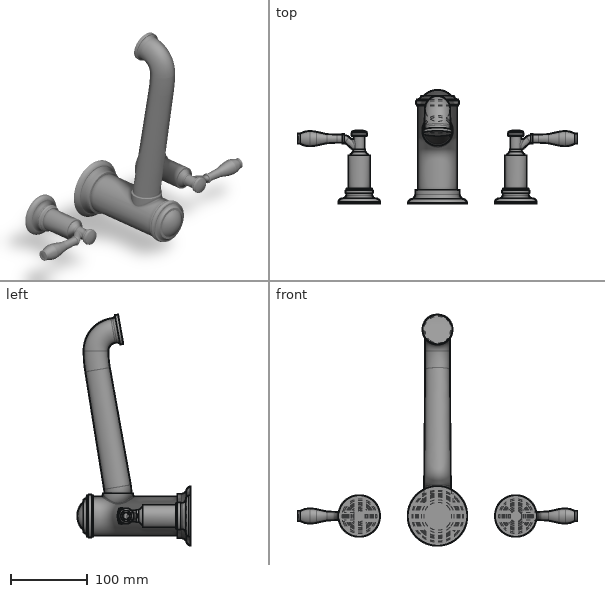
import cadquery as cq
import math


curve_bow = 0.7

flange_radius = 39.0
flange_rim = 0.7
flange_step_y = 6.0
flange_step_radius = 33.8
flange_step = 1.5
collar_start = 12.5
collar_end = 17.8
collar_radius = 29.0
barrel_radius = 25.8
bead_start = 126.8
bead_end = 135.5
bead_land = 1.8
bead_land_radius = 27.2
bead_radius = 28.5
shoulder_root_radius = 25.0
shoulder_y = 140.0
shoulder_radius = 21.5
dome_radius = 18.0
barrel_length = 148.0

pipe_y = 94.8
hub_radius = 20.0
hub_top = 29.5
hub_fillet = 1.5
root_fillet = 1.0
pipe_lean = 9.6
pipe_root_radius = 17.8
pipe_radius = 16.5
pipe_length = 154.7
root_bend_radius = 51.0
upper_bend_radius = 145.3
elbow_radius = 26.5
outlet_lean = -80.0

outlet_length = 10.5
outlet_radius = 19.5
outlet_lip = 4.5
outlet_neck = 2.0
outlet_flare_radius = 18.0
outlet_flare_bow = 0.5

valve_x = 101.7
valve_flange_radius = 27.2
valve_flange_rim = 2.5
valve_step_y = 7.0
valve_step_radius = 22.5
valve_step = 1.8
valve_collar_y = 11.0
valve_collar_radius = 17.0
valve_bead_start = 13.5
valve_bead_end = 17.5
valve_bead_radius = 18.0
valve_land_end = 19.0
valve_collar_end = 20.0
valve_lip_radius = 15.5
valve_radius = 14.5
valve_body_end = 63.0
cone_base_radius = 12.5
cone_end = 67.5
neck_ring_radius = 8.0
neck_ring_end = 71.0
stem_radius = 7.3
cap_start = 87.0
cap_land = 1.5
cap_land_radius = 9.8
cap_bead_end = 92.0
cap_bead_radius = 10.5
cap_dome_y = 93.5
cap_end = 95.5

lever_y = 84.3
overall_width = 363.2
lever_tip = overall_width / 2 - valve_x
tip_start = 76.5
tip_radius = 7.0
tip_recess_radius = 4.5
tip_recess_depth = 0.7
tip_bow = 0.7
grip_crest = 64.3
grip_crest_radius = 10.0
grip_shoulder = 55.5
grip_shoulder_radius = 9.0
shoulder_bow = 0.18
grip_waist = 42.5
grip_waist_radius = 6.0
shank_start = 29.5
shank_radius = 5.5
ring_end = 21.8
ring_start = 19.5
ring_radius = 6.5
arm_radius = 4.7
arm_bend_radius = 5.0
arm_angle = 41.0
arm_fillet = 1.8


def dome_bow(radius, height):
    """Bulge of the arc from a dome's edge to its top, measured from the chord."""
    sphere = (radius**2 + height**2) / (2 * height)
    return sphere - math.sqrt(sphere**2 - (radius**2 + height**2) / 4)


def barrel():
    return (
        cq.Workplane("XY")
        .lineTo(flange_radius, 0)
        .lineTo(flange_radius, flange_rim)
        .sagittaArc((flange_step_radius, flange_step_y), -curve_bow)
        .lineTo(flange_step_radius - flange_step, flange_step_y)
        .sagittaArc((collar_radius, collar_start), curve_bow)
        .lineTo(collar_radius, collar_end)
        .lineTo(barrel_radius, collar_end)
        .lineTo(barrel_radius, bead_start)
        .lineTo(bead_land_radius, bead_start)
        .lineTo(bead_land_radius, bead_start + bead_land)
        .sagittaArc((bead_land_radius, bead_end - bead_land), bead_land_radius - bead_radius)
        .lineTo(bead_land_radius, bead_end)
        .lineTo(shoulder_root_radius, bead_end)
        .sagittaArc((shoulder_radius, shoulder_y), curve_bow)
        .lineTo(dome_radius, shoulder_y)
        .sagittaArc((0, barrel_length), -dome_bow(dome_radius, barrel_length - shoulder_y))
        .close()
        .revolve(360, (0, 0, 0), (0, 1, 0))
    )


def lean_direction(lean):
    angle = math.radians(lean)
    return cq.Vector(0, math.sin(angle), math.cos(angle))


def pipe_bend(start, lean_in, lean_out, bend_radius, radius):
    """Round bend in the YZ plane, with the point where it ends."""
    side = 1 if lean_out > lean_in else -1
    plane = cq.Plane(origin=start, xDir=(1, 0, 0), normal=lean_direction(lean_in))
    offset = side * bend_radius
    solid = cq.Workplane(plane).circle(radius).revolve(
        abs(lean_out - lean_in), (0, offset, 0), (-side, offset, 0)
    )
    a_in = math.radians(lean_in)
    a_out = math.radians(lean_out)
    travel = cq.Vector(0, math.cos(a_in) - math.cos(a_out), math.sin(a_out) - math.sin(a_in))
    return solid, start + travel * offset


def outlet(start):
    direction = lean_direction(outlet_lean)
    plane = cq.Plane(origin=start, xDir=(1, 0, 0), normal=cq.Vector(1, 0, 0).cross(direction))
    lip_start = outlet_length - outlet_lip
    return (
        cq.Workplane(plane)
        .lineTo(pipe_radius, 0)
        .lineTo(pipe_radius, outlet_neck)
        .sagittaArc((outlet_flare_radius, lip_start), outlet_flare_bow)
        .lineTo(outlet_radius, lip_start)
        .lineTo(outlet_radius, outlet_length)
        .lineTo(0, outlet_length)
        .close()
        .revolve(360, (0, 0, 0), (0, 1, 0))
    )


def spout():
    hub_base = cq.Vector(0, pipe_y, 0)
    hub_end = cq.Vector(0, pipe_y, hub_top)
    hub = cq.Workplane("XY", origin=hub_base).circle(hub_radius).extrude(hub_top)
    root, pipe_start = pipe_bend(hub_end, 0, pipe_lean, root_bend_radius, pipe_root_radius)
    direction = lean_direction(pipe_lean)
    pipe = cq.Solid.makeCone(pipe_root_radius, pipe_radius, pipe_length, pipe_start, direction)
    pipe_end = pipe_start + direction * pipe_length
    upper, elbow_start = pipe_bend(pipe_end, pipe_lean, 0, upper_bend_radius, pipe_radius)
    elbow, elbow_end = pipe_bend(elbow_start, 0, outlet_lean, elbow_radius, pipe_radius)
    base = barrel().union(hub).edges("%BSPLINE").fillet(hub_fillet)
    hub_top_face = cq.selectors.NearestToPointSelector(hub_end.toTuple())
    root_edge = cq.selectors.RadiusNthSelector(0)
    base = base.union(root).faces(hub_top_face).edges(root_edge).fillet(root_fillet)
    return base.union(cq.Workplane(pipe)).union(upper).union(elbow).union(outlet(elbow_end))


def valve_body():
    return (
        cq.Workplane("XY")
        .lineTo(valve_flange_radius, 0)
        .lineTo(valve_flange_radius, valve_flange_rim)
        .sagittaArc((valve_step_radius, valve_step_y), -curve_bow)
        .lineTo(valve_step_radius - valve_step, valve_step_y)
        .sagittaArc((valve_collar_radius, valve_collar_y), curve_bow)
        .lineTo(valve_collar_radius, valve_bead_start)
        .sagittaArc((valve_collar_radius, valve_bead_end), valve_collar_radius - valve_bead_radius)
        .lineTo(valve_collar_radius, valve_land_end)
        .lineTo(valve_lip_radius, valve_collar_end)
        .lineTo(valve_radius, valve_collar_end)
        .lineTo(valve_radius, valve_body_end)
        .lineTo(cone_base_radius, valve_body_end)
        .lineTo(neck_ring_radius, cone_end)
        .lineTo(neck_ring_radius, neck_ring_end)
        .lineTo(stem_radius, neck_ring_end)
        .lineTo(stem_radius, cap_start)
        .lineTo(cap_land_radius, cap_start)
        .lineTo(cap_land_radius, cap_start + cap_land)
        .sagittaArc((cap_land_radius, cap_bead_end), cap_land_radius - cap_bead_radius)
        .lineTo(cap_land_radius, cap_dome_y)
        .sagittaArc((0, cap_end), -dome_bow(cap_land_radius, cap_end - cap_dome_y))
        .close()
        .revolve(360, (0, 0, 0), (0, 1, 0))
    )


def lever_grip():
    return (
        cq.Workplane("XY", origin=(0, lever_y, 0))
        .moveTo(lever_tip - tip_recess_depth, 0)
        .lineTo(lever_tip - tip_recess_depth, tip_recess_radius)
        .lineTo(lever_tip, tip_recess_radius)
        .lineTo(lever_tip, tip_radius)
        .lineTo(tip_start, tip_radius)
        .sagittaArc((grip_crest, grip_crest_radius), -tip_bow)
        .sagittaArc((grip_shoulder, grip_shoulder_radius), -shoulder_bow)
        .lineTo(grip_waist, grip_waist_radius)
        .lineTo(shank_start, shank_radius)
        .lineTo(ring_end, shank_radius)
        .lineTo(ring_end, ring_radius)
        .lineTo(ring_start, ring_radius)
        .lineTo(ring_start, 0)
        .close()
        .revolve(360, (0, 0, 0), (1, 0, 0))
    )


def lever_arm():
    """Round arm from the lever ring, bending down toward the wall into the stem."""
    angle = math.radians(arm_angle)
    bend_middle = (
        ring_start - arm_bend_radius * math.sin(angle / 2),
        lever_y - arm_bend_radius * (1 - math.cos(angle / 2)),
    )
    bend_end = (
        ring_start - arm_bend_radius * math.sin(angle),
        lever_y - arm_bend_radius * (1 - math.cos(angle)),
    )
    stem_point = (0, bend_end[1] - bend_end[0] * math.tan(angle))
    path = (
        cq.Workplane("XY")
        .moveTo(ring_start, lever_y)
        .threePointArc(bend_middle, bend_end)
        .lineTo(*stem_point)
    )
    arm = cq.Workplane("YZ", origin=(ring_start, lever_y, 0)).circle(arm_radius).sweep(path)
    stem_length = cap_start - valve_body_end
    stem = cq.Workplane("XZ", origin=(0, cap_start, 0)).circle(stem_radius).extrude(stem_length)
    joined = stem.union(arm)
    return joined.edges("%BSPLINE").fillet(arm_fillet)


def valve(side):
    """Valve with its lever pointing away from the spout; side is -1 or 1."""
    solid = valve_body().union(lever_grip()).union(lever_arm())
    if side < 0:
        solid = solid.mirror("YZ")
    return solid.translate((side * valve_x, 0, 0))


spout_body = spout()
valves = [valve(side) for side in (-1, 1)]

result = cq.Compound.makeCompound([spout_body.val(), *[body.val() for body in valves]])